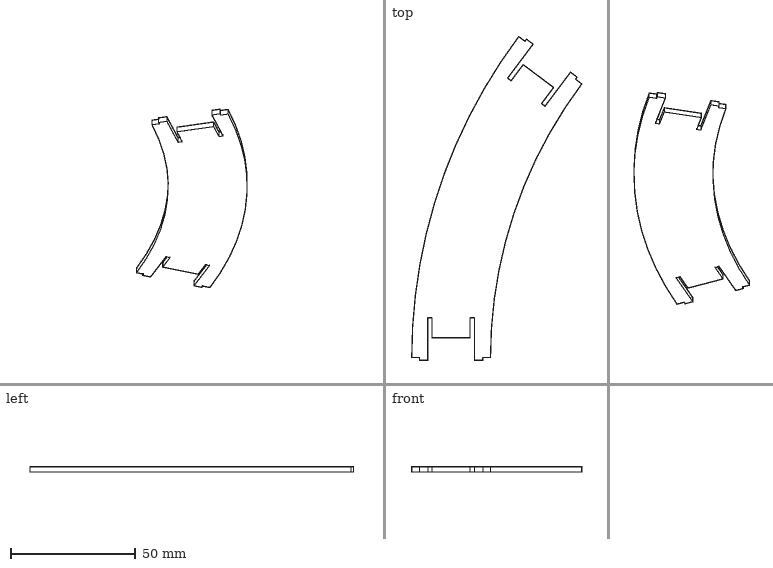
import cadquery as cq
import math

outer_radius = 215.5
strip_width = 31.8
thickness = 2.2
arc_rise = 129.3
sweep = math.degrees(math.asin(arc_rise / outer_radius))
inner_radius = outer_radius - strip_width
middle_radius = outer_radius - strip_width / 2

opening_width = 18.8
tongue_width = 15.4
slot_depth = 16.0
tongue_recess = 8.0
nib_width = 3.4
nib_length = 1.0


def point_on_arc(radius, angle):
    """Point at an angle measured clockwise from the -X direction."""
    turn = math.radians(angle)
    return (-radius * math.cos(turn), radius * math.sin(turn))


def block(width, y_low, y_high, x_middle):
    """Full-thickness block centred on x_middle between two Y positions."""
    length = y_high - y_low
    return (
        cq.Workplane("XY")
        .box(width, length, thickness, centered=(True, False, False))
        .translate((x_middle, y_low, 0))
    )


def curved_strip():
    return (
        cq.Workplane("XY")
        .moveTo(*point_on_arc(outer_radius, 0))
        .threePointArc(point_on_arc(outer_radius, sweep / 2), point_on_arc(outer_radius, sweep))
        .lineTo(*point_on_arc(inner_radius, sweep))
        .threePointArc(point_on_arc(inner_radius, sweep / 2), point_on_arc(inner_radius, 0))
        .close()
        .extrude(thickness)
    )


def end_opening():
    """Space between the legs, with the tongue left standing in it."""
    opening = block(opening_width, 0, slot_depth, -middle_radius)
    tongue = block(tongue_width, tongue_recess, slot_depth, -middle_radius)
    return opening.cut(tongue)


def end_nibs():
    """Small steps on the leg tips, flush with the inner sides of the legs."""
    nib_offset = (opening_width + nib_width) / 2
    left = block(nib_width, -nib_length, slot_depth / 2, -middle_radius - nib_offset)
    right = block(nib_width, -nib_length, slot_depth / 2, -middle_radius + nib_offset)
    return left.union(right)


def at_far_end(detail):
    """Mirror a detail of the first end and turn it onto the other end."""
    return detail.mirror("XZ").rotate((0, 0, 0), (0, 0, 1), -sweep)


strip = curved_strip()
for place in (lambda detail: detail, at_far_end):
    strip = strip.cut(place(end_opening())).union(place(end_nibs()))

result = strip.translate((outer_radius, nib_length, 0))